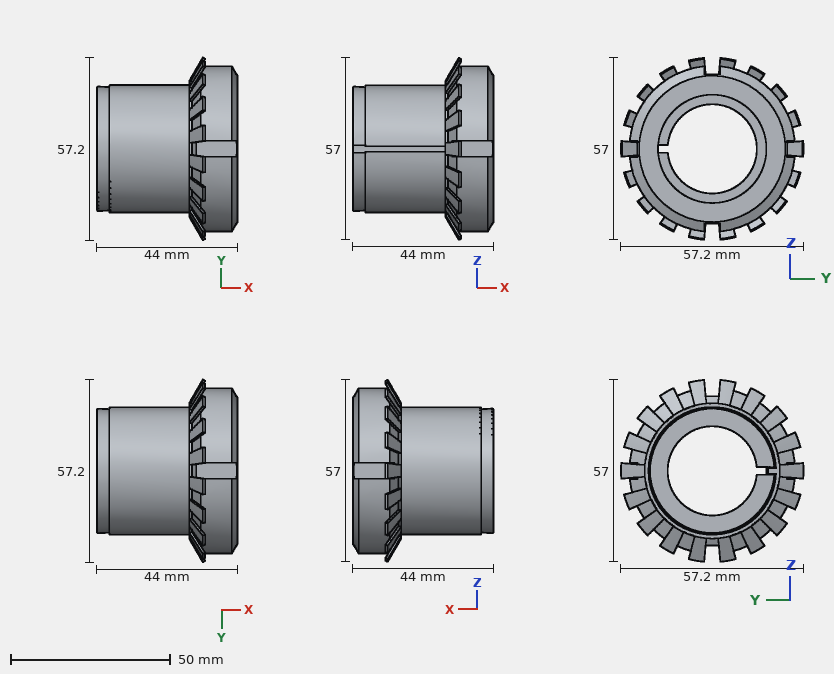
import cadquery as cq
import math


total_length = 44.0

bore_d = 27.85
sleeve_end_r = 19.55
taper_angle = 3.0
thread_d = 33.9
sleeve_slot_width = 2.4
sleeve_edge_round = 0.5

ring_d = 39.95
ring_start = 3.85
ring_slot_width = 1.7
ring_edge_round = 0.45

washer_start = 28.8
washer_thickness = 0.8
washer_bore_d = 35.0
washer_root_r = 21.15
washer_tip_r = 28.6
tooth_count = 18
tooth_angle = 10.0
tooth_slope = 60.0

nut_d = 51.9
nut_slot_count = 4
nut_slot_width = 5.05
nut_slot_floor_r = 23.4
nut_rear_chamfer = 1.8

ring_end = washer_start
nut_start = washer_start + washer_thickness
tooth_pitch = 360 / tooth_count
slope = math.radians(tooth_slope)
tip_x = washer_start + (washer_tip_r - washer_root_r) / math.tan(slope)
inner_tip_x = tip_x + washer_thickness * math.sin(slope)
inner_tip_r = washer_tip_r - washer_thickness * math.cos(slope)
bend_r = inner_tip_r - (inner_tip_x - nut_start) * math.tan(slope)


def taper_radius(x):
    """Radius of the taper surface at position x."""
    return sleeve_end_r - x * math.tan(math.radians(taper_angle))


def revolve_profile(points):
    """Turn a closed (x, radius) outline around the X axis, starting on the -Y side."""
    outline = [(x, -radius) for x, radius in points]
    return cq.Workplane("XY").polyline(outline).close().revolve(360, (0, 0, 0), (1, 0, 0))


def lengthwise_slot(width):
    """Cutter for the split on the -Y side, open over the whole length."""
    cutter = cq.Workplane("XY").box(total_length, ring_d, width, centered=(False, False, True))
    return cutter.translate((0, -ring_d, 0))


def round_front_edge(body, radius):
    """Round the outer edge of the face that looks toward -X."""
    outer_edge = cq.selectors.RadiusNthSelector(-1)
    return body.faces("<X").edges(outer_edge).fillet(radius)


def make_sleeve():
    """Split tapered sleeve: taper under the ring, then a plain length through washer and nut."""
    body = revolve_profile([
        (0, bore_d / 2),
        (0, sleeve_end_r),
        (ring_end, taper_radius(ring_end)),
        (ring_end, thread_d / 2),
        (total_length, thread_d / 2),
        (total_length, bore_d / 2),
    ])
    body = round_front_edge(body, sleeve_edge_round)
    return body.cut(lengthwise_slot(sleeve_slot_width))


def make_ring():
    """Split cylindrical ring with a bore that matches the sleeve taper."""
    body = revolve_profile([
        (ring_start, taper_radius(ring_start)),
        (ring_start, ring_d / 2),
        (ring_end, ring_d / 2),
        (ring_end, taper_radius(ring_end)),
    ])
    body = round_front_edge(body, ring_edge_round)
    return body.cut(lengthwise_slot(ring_slot_width))


def tooth_gap(angle):
    """Wedge between two teeth, centred on the given angle, outside the root circle."""
    half_angle = math.radians(tooth_pitch - tooth_angle) / 2
    across = math.cos(half_angle)
    aside = math.sin(half_angle)
    outer_r = 2 * washer_tip_r - washer_root_r
    wedge = (
        cq.Workplane("YZ", origin=(washer_start, 0, 0))
        .moveTo(washer_root_r * across, -washer_root_r * aside)
        .lineTo(outer_r * across, -outer_r * aside)
        .lineTo(outer_r * across, outer_r * aside)
        .lineTo(washer_root_r * across, washer_root_r * aside)
        .threePointArc((washer_root_r, 0), (washer_root_r * across, -washer_root_r * aside))
        .close()
        .extrude(inner_tip_x - washer_start)
    )
    return wedge.rotate((0, 0, 0), (1, 0, 0), angle)


def make_washer():
    """Lock washer: a flat disc whose bent teeth form a cone that rests on the nut."""
    body = revolve_profile([
        (washer_start, washer_bore_d / 2),
        (washer_start, washer_root_r),
        (tip_x, washer_tip_r),
        (inner_tip_x, inner_tip_r),
        (nut_start, bend_r),
        (nut_start, washer_bore_d / 2),
    ])
    for i in range(tooth_count):
        body = body.cut(tooth_gap((i + 0.5) * tooth_pitch))
    return body


def make_nut():
    """Lock nut: front chamfer under the teeth, rear chamfer, and slots in the rim."""
    nut_r = nut_d / 2
    front_chamfer = (nut_r - bend_r) / math.tan(slope)
    bore_chamfer = (washer_bore_d - thread_d) / 2
    body = revolve_profile([
        (nut_start, washer_bore_d / 2),
        (nut_start, bend_r),
        (nut_start + front_chamfer, nut_r),
        (total_length - nut_rear_chamfer, nut_r),
        (total_length, nut_r - nut_rear_chamfer * math.tan(slope)),
        (total_length, thread_d / 2),
        (nut_start + bore_chamfer, thread_d / 2),
    ])
    slot = (
        cq.Workplane("XY")
        .box(total_length - nut_start, nut_r, nut_slot_width, centered=(False, False, True))
        .translate((nut_start, nut_slot_floor_r, 0))
    )
    for i in range(nut_slot_count):
        body = body.cut(slot.rotate((0, 0, 0), (1, 0, 0), i * 360 / nut_slot_count))
    return body


sleeve = make_sleeve()
ring = make_ring()
washer = make_washer()
nut = make_nut()

result = cq.Compound.makeCompound([sleeve.val(), ring.val(), washer.val(), nut.val()])